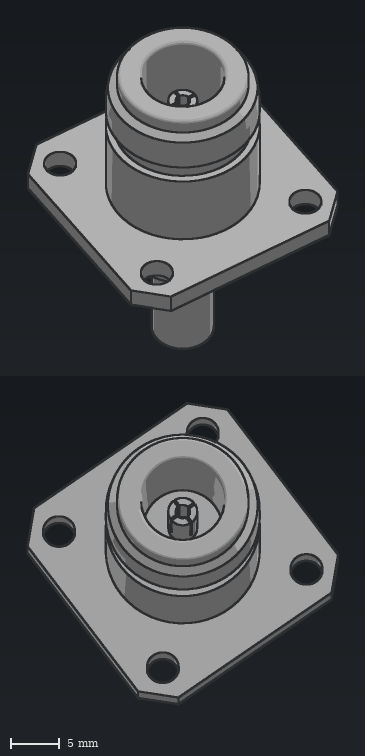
import cadquery as cq

height = 38.3

flange_side = 25.4
flange_bottom = 19.6
flange_top = 21.8
corner_chamfer = 3.0
mount_hole_diameter = 3.3
mount_hole_spacing = 18.23

tube_radius = 3.2
rear_radius = 6.3
rear_bottom = 13.02
rear_fillet = 0.57

body_radius = 7.93
body_top = 30.55
neck_radius = 7.12
neck_top = 32.0
collar_bottom = 32.7
collar_taper_start = 34.55
collar_taper_end = 36.25
collar_top_radius = 7.7
nose_radius = 6.78
nose_bottom = 36.75
nose_fillet = 0.5

socket_mouth_radius = 4.3
socket_floor_radius = 4.05
socket_floor = 29.1
mouth_fillet = 0.55

contact_radius = 1.5
contact_top = 34.28
contact_bore_radius = 0.73
contact_bore_depth = 3.83
slot_width = 0.2


def make_flange():
    plate = (
        cq.Workplane("XY")
        .workplane(offset=flange_bottom)
        .rect(flange_side, flange_side)
        .extrude(flange_top - flange_bottom)
        .edges("|Z")
        .chamfer(corner_chamfer)
    )
    return (
        plate.faces(">Z")
        .workplane()
        .rect(mount_hole_spacing, mount_hole_spacing, forConstruction=True)
        .vertices()
        .hole(mount_hole_diameter)
    )


def make_turned_body():
    """Revolve the outside and the socket, then round the edges."""
    profile = [
        (0, 0),
        (tube_radius, 0),
        (tube_radius, rear_bottom),
        (rear_radius, rear_bottom),
        (rear_radius, flange_top),
        (body_radius, flange_top),
        (body_radius, body_top),
        (neck_radius, body_top),
        (neck_radius, neck_top),
        (body_radius, collar_bottom),
        (body_radius, collar_taper_start),
        (collar_top_radius, collar_taper_end),
        (nose_radius, nose_bottom),
        (nose_radius, height),
        (socket_mouth_radius, height),
        (socket_floor_radius, socket_floor),
        (0, socket_floor),
    ]
    body = cq.Workplane("XZ").polyline(profile).close().revolve(360, (0, 0), (0, 1))
    top_rim = body.faces(">Z").edges()
    outer_rim = cq.selectors.RadiusNthSelector(-1)
    inner_rim = cq.selectors.RadiusNthSelector(0)
    body = top_rim.edges(outer_rim).fillet(nose_fillet)
    body = body.faces(">Z").edges(inner_rim).fillet(mouth_fillet)
    rear_edge = cq.selectors.BoxSelector(
        (-rear_radius, -rear_radius, rear_bottom - rear_fillet),
        (rear_radius, rear_radius, rear_bottom + rear_fillet),
    )
    return body.edges(rear_edge).edges(outer_rim).fillet(rear_fillet)


def make_contact():
    contact = (
        cq.Workplane("XY")
        .workplane(offset=socket_floor)
        .circle(contact_radius)
        .extrude(contact_top - socket_floor)
    )
    cut_plane = cq.Workplane("XY").workplane(offset=contact_top)
    contact = contact.cut(cut_plane.circle(contact_bore_radius).extrude(-contact_bore_depth))
    for angle in (0, 90):
        slot = cut_plane.rect(2 * contact_radius, slot_width).extrude(-contact_bore_depth)
        contact = contact.cut(slot.rotate((0, 0, 0), (0, 0, 1), angle))
    return contact


result = make_turned_body().union(make_flange()).union(make_contact())